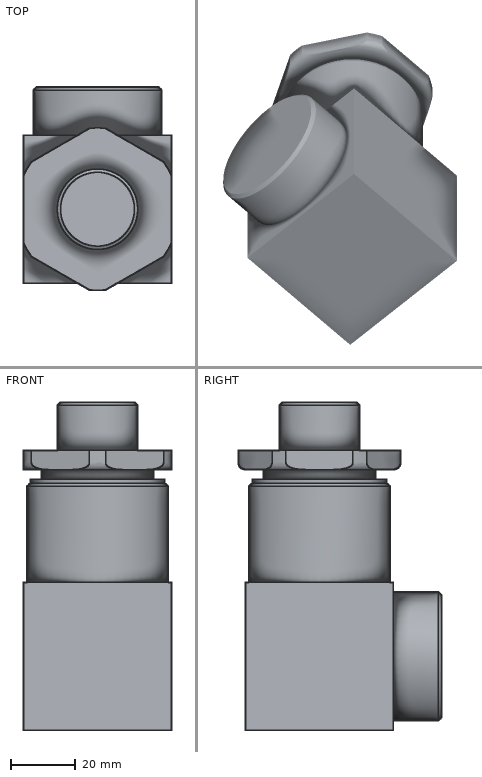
import cadquery as cq
import math

cube_side = 46.0
port_diameter = 40.0
port_length = 15.0
edge_chamfer = 1.0

total_height = 102.0
pin_length = 15.0
nut_thickness = 6.0
neck_length = 3.0
nut_top = total_height - pin_length
nut_bottom = nut_top - nut_thickness
sleeve_top = nut_bottom - neck_length

sleeve_diameter = 44.0
rim_diameter = sleeve_diameter - 2 * edge_chamfer
rim_height = 1.2

nut_across_flats = cube_side
nut_corner_diameter = 50.5
nut_edge_radius = 2.1

neck_diameter = 35.0
pin_diameter = 25.0


def cylinder(diameter, bottom, height):
    """Vertical cylinder on the Z axis."""
    return cq.Workplane("XY").workplane(offset=bottom).circle(diameter / 2).extrude(height)


def make_housing():
    cube = cq.Workplane("XY").box(cube_side, cube_side, cube_side, centered=(True, True, False))
    port = (
        cq.Workplane("XZ", origin=(0, cube_side / 2, cube_side / 2))
        .circle(port_diameter / 2)
        .extrude(-port_length)
        .faces(">Y")
        .edges()
        .chamfer(edge_chamfer)
    )
    return cube.union(port)


def make_sleeve():
    body_height = sleeve_top - rim_height - cube_side
    body = cylinder(sleeve_diameter, cube_side, body_height).faces(">Z").edges().chamfer(edge_chamfer)
    rim = cylinder(rim_diameter, sleeve_top - rim_height, rim_height)
    return body.union(rim)


def make_nut():
    across_corners = nut_across_flats / math.cos(math.pi / 6)
    hexagon = (
        cq.Workplane("XY")
        .workplane(offset=nut_bottom)
        .transformed(rotate=(0, 0, 30))
        .polygon(6, across_corners)
        .extrude(nut_thickness)
    )
    turned_blank = (
        cylinder(nut_corner_diameter, nut_bottom, nut_thickness).faces("<Z").edges().fillet(nut_edge_radius)
    )
    bore = cylinder(pin_diameter, nut_bottom, nut_thickness)
    return hexagon.intersect(turned_blank).cut(bore)


def make_stem():
    neck = cylinder(neck_diameter, sleeve_top, neck_length)
    pin = (
        cylinder(pin_diameter, nut_bottom, nut_thickness + pin_length)
        .faces(">Z")
        .edges()
        .chamfer(edge_chamfer)
    )
    return neck.union(pin)


housing = make_housing()
sleeve = make_sleeve()
nut = make_nut()
stem = make_stem()

result = cq.Compound.makeCompound([housing.val(), sleeve.val(), nut.val(), stem.val()])